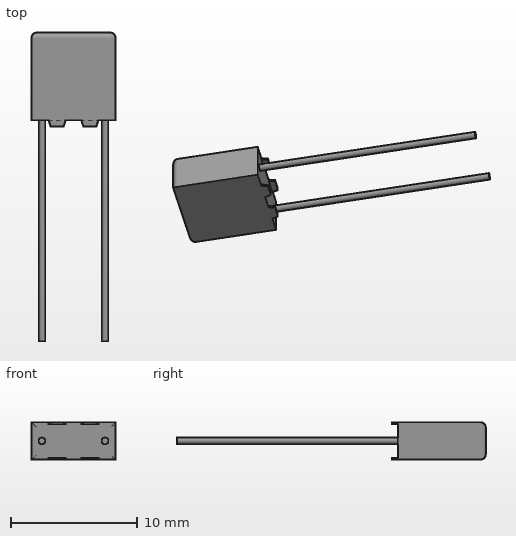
import cadquery as cq

total_length = 24.5
case_width = 6.7
case_thickness = 3.0
case_length = 6.98
end_round_radius = 0.47

tab_length = 0.5
tab_root_width = 1.37
tab_tip_width = 1.03
tab_thickness = 0.17
tab_spacing = 2.6

lead_diameter = 0.55
lead_pitch = 5.0
lead_length = total_length - case_length


def make_tab(x_center, z_bottom):
    """Trapezoidal tab that narrows away from the lead face, which lies at Y = 0."""
    root = tab_root_width / 2
    tip = tab_tip_width / 2
    return (
        cq.Workplane("XY", origin=(x_center, 0, z_bottom))
        .polyline([(-root, 0), (-tip, -tab_length), (tip, -tab_length), (root, 0)])
        .close()
        .extrude(tab_thickness)
    )


def make_case():
    """Block with a rounded closed end and two tabs on each broad side."""
    case = (
        cq.Workplane("XY")
        .box(case_width, case_length, case_thickness, centered=(True, False, True))
        .faces(">Y")
        .edges()
        .fillet(end_round_radius)
    )
    lower_tab_bottom = -case_thickness / 2
    upper_tab_bottom = case_thickness / 2 - tab_thickness
    for x_center in (-tab_spacing / 2, tab_spacing / 2):
        for z_bottom in (lower_tab_bottom, upper_tab_bottom):
            case = case.union(make_tab(x_center, z_bottom))
    return case


def make_lead(x_center):
    """Straight round wire that runs in -Y from the lead face."""
    return (
        cq.Workplane("XZ", origin=(x_center, 0, 0))
        .circle(lead_diameter / 2)
        .extrude(lead_length)
    )


case = make_case()

leads = []
for x_center in (-lead_pitch / 2, lead_pitch / 2):
    leads.append(make_lead(x_center).val())

result = cq.Compound.makeCompound([case.val(), *leads])